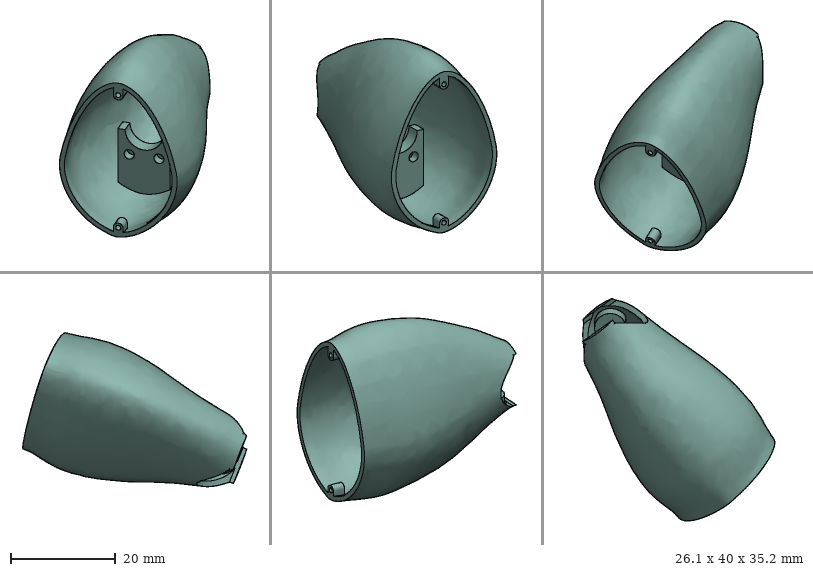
import cadquery as cq
import math

FRONT_Y = -20.0
REAR_Y = 20.0
WALL_FRONT = 1.0
WALL_REAR = 1.15

OUTER_SECTIONS = [
    (FRONT_Y, 11.85, 16.10, -17.00, -3.0, 1.45, 1.25),
    (-14.0, 12.80, 17.35, -17.55, -3.0, 1.45, 1.1),
    (-9.0, 12.97, 17.55, -17.38, -2.9, 1.45, 1.1),
    (-4.0, 12.25, 16.95, -16.60, -2.5, 1.45, 1.1),
    (2.0, 10.65, 15.40, -15.00, -1.8, 1.5, 1.0),
    (8.0, 8.80, 12.85, -12.60, -0.9, 1.65, 1.0),
    (13.0, 7.65, 10.45, -9.80, -0.4, 1.8, 1.0),
    (17.0, 6.90, 8.10, -7.60, -0.3, 1.9, 1.0),
    (REAR_Y, 6.40, 6.28, -6.90, -0.3, 2.0, 1.0),
]
CROWN_SIDE_EXPONENT = 1.1
POINTS_PER_QUARTER = 6

REACH = 40.0

NOTCH_TIP_Y = 13.95
NOTCH_SHOULDER_Y = 19.2
NOTCH_HALF_HEIGHT = 5.4
NOTCH_Z = -0.35

PEG_DIA = 6.0
PEG_Y = 16.05
PEG_GAP = 7.0
PEG_GAP_Z = -0.4

PLATE_FRONT_Y = -4.0
PLATE_THICKNESS = 3.0
PLATE_WIDTH = 10.5
PLATE_TOP_Z = -2.3
PLATE_SLOT_DIA = 7.6
PLATE_HOLE_DIA = 2.0
PLATE_HOLE_DEPTH = 2.0
PLATE_HOLE_SPACING = 6.0
PLATE_HOLE_Z = -7.5

BOSS_DIA = 2.0
BOSS_HOLE_DIA = 1.0
BOSS_LENGTH = 2.5
UPPER_BOSS_Z = 13.5
LOWER_BOSS_Z = -15.0


def signed_power(base, exponent):
    """Raise the size of base to the exponent and keep its sign."""
    return math.copysign(abs(base) ** exponent, base)


def egg_wire(section, inset):
    """Closed egg-shaped section in the plane at y, drawn in from the outer skin by inset."""
    y, half_width, top, bottom, widest, crown, keel = section
    half_width -= inset
    rise = top - inset - widest
    drop = widest - bottom - inset
    points = []
    for step in range(4 * POINTS_PER_QUARTER):
        angle = math.pi / 2 * (step / POINTS_PER_QUARTER - 1)
        width = math.cos(angle)
        height = math.sin(angle)
        if height > 0:
            x = half_width * signed_power(width, CROWN_SIDE_EXPONENT)
            z = widest + rise * height ** (2 / crown)
        else:
            x = half_width * signed_power(width, keel)
            z = widest + drop * height
        points.append(cq.Vector(x, y, z))
    return cq.Wire.assembleEdges([cq.Edge.makeSpline(points, periodic=True)])


def wall_inset(y):
    """Wall thickness at y, growing evenly from the front rim to the rear end."""
    return WALL_FRONT + (WALL_REAR - WALL_FRONT) * (y - FRONT_Y) / (REAR_Y - FRONT_Y)


def outer_body():
    wires = [egg_wire(section, 0) for section in OUTER_SECTIONS]
    return cq.Workplane(cq.Solid.makeLoft(wires))


def cavity():
    wires = [egg_wire(section, wall_inset(section[0])) for section in OUTER_SECTIONS]
    return cq.Workplane(cq.Solid.makeLoft(wires))


def along_y(front_y):
    """Workplane facing the rear: local x is -X, local y is Z, extrusions run toward +Y."""
    return cq.Workplane(cq.Plane((0, front_y, 0), xDir=(-1, 0, 0), normal=(0, 1, 0)))


def pegs():
    column = cq.Workplane("XY").center(0, PEG_Y).circle(PEG_DIA / 2).extrude(REACH, both=True)
    gap = cq.Workplane("XY").box(REACH, 2 * REACH, PEG_GAP).translate((0, 0, PEG_GAP_Z))
    return column.cut(gap)


def plate():
    body = (
        along_y(PLATE_FRONT_Y)
        .center(0, PLATE_TOP_Z - REACH / 2)
        .rect(PLATE_WIDTH, REACH)
        .extrude(PLATE_THICKNESS)
    )
    slot = (
        along_y(PLATE_FRONT_Y)
        .center(0, PLATE_TOP_Z)
        .circle(PLATE_SLOT_DIA / 2)
        .extrude(PLATE_THICKNESS)
    )
    half_spacing = PLATE_HOLE_SPACING / 2
    holes = (
        along_y(PLATE_FRONT_Y)
        .pushPoints([(-half_spacing, PLATE_HOLE_Z), (half_spacing, PLATE_HOLE_Z)])
        .circle(PLATE_HOLE_DIA / 2)
        .extrude(PLATE_HOLE_DEPTH)
    )
    return body.cut(slot).cut(holes)


def boss(z, outward):
    """Round-ended boss; its straight side runs into the shell (outward is +1 up, -1 down)."""
    rounded = along_y(FRONT_Y).center(0, z).circle(BOSS_DIA / 2).extrude(BOSS_LENGTH)
    base = (
        along_y(FRONT_Y)
        .center(0, z + outward * REACH / 2)
        .rect(BOSS_DIA, REACH)
        .extrude(BOSS_LENGTH)
    )
    return rounded.union(base)


def boss_hole(z):
    return along_y(FRONT_Y).center(0, z).circle(BOSS_HOLE_DIA / 2).extrude(BOSS_LENGTH)


def rear_notch():
    """Parabola from the tip out to the shoulders, then straight through the rear end."""
    past_end = REAR_Y + REACH
    low = NOTCH_Z - NOTCH_HALF_HEIGHT
    high = NOTCH_Z + NOTCH_HALF_HEIGHT
    control_y = 2 * NOTCH_TIP_Y - NOTCH_SHOULDER_Y
    return (
        cq.Workplane("YZ")
        .moveTo(past_end, high)
        .lineTo(NOTCH_SHOULDER_Y, high)
        .bezier([(control_y, NOTCH_Z), (NOTCH_SHOULDER_Y, low)], includeCurrent=True)
        .lineTo(past_end, low)
        .close()
        .extrude(REACH, both=True)
    )


envelope = outer_body()
fittings = plate().union(boss(UPPER_BOSS_Z, 1)).union(boss(LOWER_BOSS_Z, -1)).union(pegs())
shell = envelope.cut(cavity()).cut(rear_notch())
result = shell.union(fittings.intersect(envelope))
result = result.cut(boss_hole(UPPER_BOSS_Z)).cut(boss_hole(LOWER_BOSS_Z))